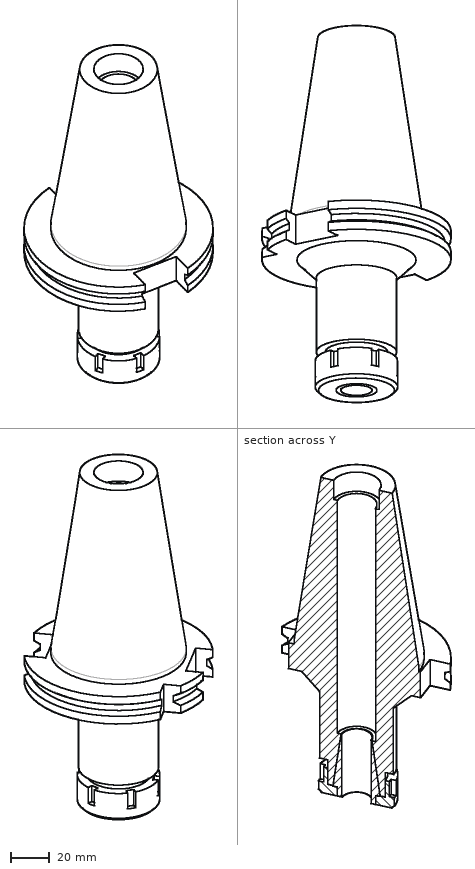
import cadquery as cq
import math

TOTAL_HEIGHT = 191.8
NUT_TOP_Z = 16.1
BODY_BOTTOM_Z = 20.7
CONE_BOTTOM_Z = 61.2
FLANGE_BOTTOM_Z = 71.0
FLANGE_THICKNESS = 16.0
FLANGE_TOP_Z = FLANGE_BOTTOM_Z + FLANGE_THICKNESS
COLLAR_HEIGHT = 2.9
TAPER_BOTTOM_Z = FLANGE_TOP_Z + COLLAR_HEIGHT

TAPER_BASE_RADIUS = 34.9
TAPER_RATE = 7 / 24
TAPER_TOP_RADIUS = TAPER_BASE_RADIUS - TAPER_RATE / 2 * (TOTAL_HEIGHT - TAPER_BOTTOM_Z)

FLANGE_RADIUS = 48.7
GROOVE_RADIUS = 45.6
GROOVE_MOUTH = 6.9
GROOVE_FLOOR = 3.5
GROOVE_MIDDLE_Z = FLANGE_BOTTOM_Z + FLANGE_THICKNESS / 2

DRIVE_SLOT_WIDTH = 25.7
LEFT_SLOT_FLOOR_X = -38.0
RIGHT_SLOT_FLOOR_X = 35.7
NOTCH_CORNER = 29.7

BODY_RADIUS = 20.7
CONE_TOP_RADIUS = 30.7
NECK_RADIUS = 16.1

NUT_RADIUS = 21.3
NUT_CHAMFER = 1.7
NUT_LIP_THICKNESS = 5.8
SLOT_COUNT = 6
SLOT_WIDTH = 4.2
SLOT_DEPTH = 2.9
SLOT_BOTTOM_Z = 6.9

COLLET_BORE_RADIUS = 8.0
COLLET_BACK_RADIUS = 8.5
COLLET_FRONT_RADIUS = 13.0
COLLET_NOSE_RADIUS = 10.5
COLLET_HALF_ANGLE = 8
COLLET_CONE_LENGTH = (COLLET_FRONT_RADIUS - COLLET_BACK_RADIUS) / math.tan(math.radians(COLLET_HALF_ANGLE))
COLLET_BACK_Z = NUT_LIP_THICKNESS + COLLET_CONE_LENGTH

BORE_RADIUS = 10.5
COUNTERBORE_RADIUS = 12.7
COUNTERBORE_DEPTH = 11.7
COUNTERBORE_FLOOR_Z = TOTAL_HEIGHT - COUNTERBORE_DEPTH


def revolve_profile(points):
    """Turn a closed outline of (radius, Z) points about the Z axis."""
    return cq.Workplane("XZ").polyline(points).close().revolve(360, (0, 0, 0), (0, 1, 0))


def flange_cutter(x_start, x_end, y_start, y_end):
    """Box over the full flange thickness between the given X and Y limits."""
    return (
        cq.Workplane("XY", origin=(0, 0, FLANGE_BOTTOM_Z))
        .moveTo(x_start, y_start)
        .lineTo(x_end, y_start)
        .lineTo(x_end, y_end)
        .lineTo(x_start, y_end)
        .close()
        .extrude(FLANGE_THICKNESS)
    )


def make_holder():
    half_mouth = GROOVE_MOUTH / 2
    half_floor = GROOVE_FLOOR / 2
    turned = revolve_profile([
        (COLLET_FRONT_RADIUS, NUT_LIP_THICKNESS),
        (COLLET_BACK_RADIUS, COLLET_BACK_Z),
        (BORE_RADIUS, COLLET_BACK_Z),
        (BORE_RADIUS, COUNTERBORE_FLOOR_Z),
        (COUNTERBORE_RADIUS, COUNTERBORE_FLOOR_Z),
        (COUNTERBORE_RADIUS, TOTAL_HEIGHT),
        (TAPER_TOP_RADIUS, TOTAL_HEIGHT),
        (TAPER_BASE_RADIUS, TAPER_BOTTOM_Z),
        (TAPER_BASE_RADIUS, FLANGE_TOP_Z),
        (FLANGE_RADIUS, FLANGE_TOP_Z),
        (FLANGE_RADIUS, GROOVE_MIDDLE_Z + half_mouth),
        (GROOVE_RADIUS, GROOVE_MIDDLE_Z + half_floor),
        (GROOVE_RADIUS, GROOVE_MIDDLE_Z - half_floor),
        (FLANGE_RADIUS, GROOVE_MIDDLE_Z - half_mouth),
        (FLANGE_RADIUS, FLANGE_BOTTOM_Z),
        (CONE_TOP_RADIUS, FLANGE_BOTTOM_Z),
        (BODY_RADIUS, CONE_BOTTOM_Z),
        (BODY_RADIUS, BODY_BOTTOM_Z),
        (NECK_RADIUS, BODY_BOTTOM_Z),
        (NECK_RADIUS, NUT_LIP_THICKNESS),
    ])
    half_slot = DRIVE_SLOT_WIDTH / 2
    left_slot = flange_cutter(-FLANGE_RADIUS, LEFT_SLOT_FLOOR_X, -half_slot, half_slot)
    right_slot = flange_cutter(RIGHT_SLOT_FLOOR_X, FLANGE_RADIUS, -half_slot, half_slot)
    notch = flange_cutter(-FLANGE_RADIUS, -NOTCH_CORNER, NOTCH_CORNER, FLANGE_RADIUS)
    return turned.cut(left_slot).cut(right_slot).cut(notch)


def make_nut():
    nut = revolve_profile([
        (COLLET_NOSE_RADIUS, 0),
        (NUT_RADIUS - NUT_CHAMFER, 0),
        (NUT_RADIUS, NUT_CHAMFER),
        (NUT_RADIUS, NUT_TOP_Z),
        (NECK_RADIUS, NUT_TOP_Z),
        (NECK_RADIUS, NUT_LIP_THICKNESS),
        (COLLET_NOSE_RADIUS, NUT_LIP_THICKNESS),
    ])
    slot = (
        cq.Workplane("XY", origin=(NUT_RADIUS, 0, SLOT_BOTTOM_Z))
        .rect(2 * SLOT_DEPTH, SLOT_WIDTH)
        .extrude(NUT_TOP_Z - SLOT_BOTTOM_Z)
    )
    for index in range(SLOT_COUNT):
        angle = index * 360 / SLOT_COUNT
        nut = nut.cut(slot.rotate((0, 0, 0), (0, 0, 1), angle))
    return nut


def make_collet():
    return revolve_profile([
        (COLLET_BORE_RADIUS, 0),
        (COLLET_NOSE_RADIUS, 0),
        (COLLET_NOSE_RADIUS, NUT_LIP_THICKNESS),
        (COLLET_FRONT_RADIUS, NUT_LIP_THICKNESS),
        (COLLET_BACK_RADIUS, COLLET_BACK_Z),
        (COLLET_BORE_RADIUS, COLLET_BACK_Z),
    ])


holder = make_holder()
nut = make_nut()
collet = make_collet()

result = cq.Compound.makeCompound([holder.val(), nut.val(), collet.val()])